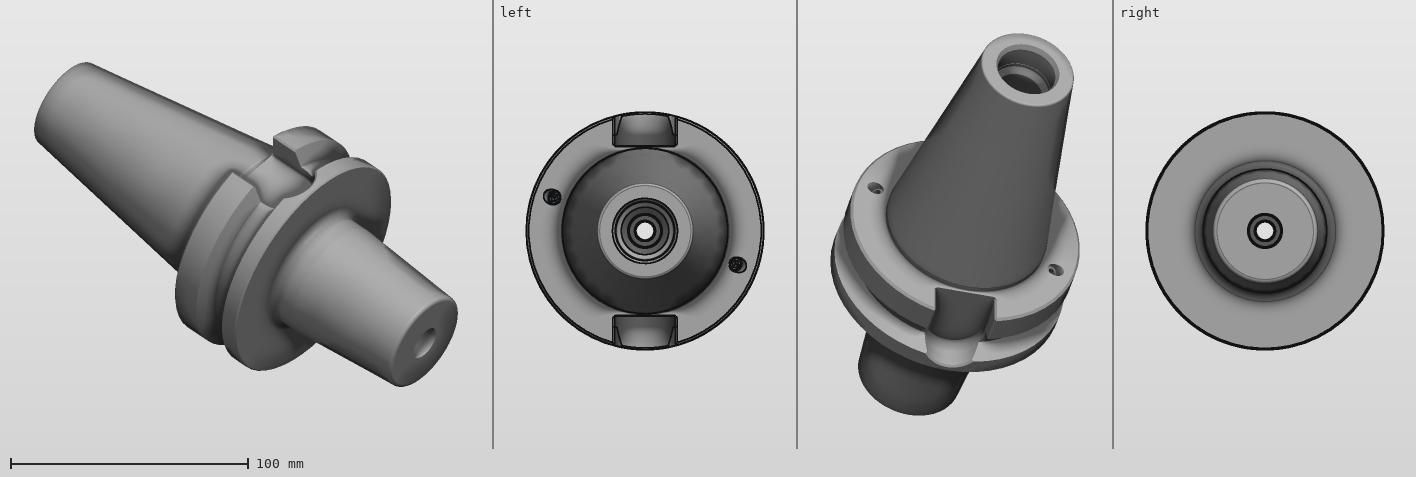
import cadquery as cq
import math

LENGTH = 201.8
GAUGE_X = 101.7
FLANGE_FRONT_X = 104.7
FLANGE_BACK_X = 139.5
COLLAR_END_X = 150.7

TAPER_RATIO = 7 / 24
TAPER_LARGE_R = 35.0
TAPER_SMALL_R = TAPER_LARGE_R - GAUGE_X * TAPER_RATIO / 2
TAPER_FILLET = 1.0
NECK_R = 69.5 / 2
NECK_EDGE = 0.6
NECK_FILLET = 0.6

FLANGE_R = 100.0 / 2
DRIVE_RIM_R = 99.9 / 2
GROOVE_R = 42.4
GROOVE_FRONT_X = 117.5
GROOVE_BACK_X = 132.0
GROOVE_WALL_AXIAL = 3.6
DRIVE_RIM_CHAMFER = 1.0
FLANGE_CHAMFER = 0.6

COLLAR_R = 52.0 / 2
NOSE_END_R = 22.0
COLLAR_FILLET = 3.6
NOSE_FILLET = 1.8

SLOT_WIDTH = 25.6
SLOT_CENTRE_X = 123.3
SLOT_FLOOR_Z = 35.5
SLOT_FLOOR_CHAMFER = 0.5
SLOT_EDGE_CHAMFER = 0.8

MOUTH_R = 13.7
MOUTH_HALF_ANGLE = 30.0
PILOT_R = 25.0 / 2
PILOT_END_X = 11.0
STEP_R = 12.3
STEP_END_X = 12.7
THREAD_R = 9.99
THREAD_END_X = 64.5
DRILL_HALF_ANGLE = 59.0

STOP_R = 7.3
STOP_HOLE_R = 3.8
STOP_LENGTH = 16.1
STOP_CHAMFER = 0.6

PLUG_Y = 39.1
PLUG_Z = 14.3
PLUG_TILT = 30.0
PLUG_HOLE_D = 6.3
PLUG_D = 6.0
PLUG_TOP_D = 5.0
PLUG_DEPTH = 2.5
PLUG_LENGTH = 6.0
PLUG_CHAMFER = (PLUG_D - PLUG_TOP_D) / 2
SOCKET_FLATS = 3.0
SOCKET_DEPTH = 3.0
CUT_MARGIN = 2.0

STOP_X = THREAD_END_X + (THREAD_R - STOP_R) / math.tan(math.radians(DRILL_HALF_ANGLE))


def revolve_about_x(profile):
    """Revolve a closed (x, radius) profile a full turn about the X axis."""
    return profile.close().revolve(360, (0, 0, 0), (1, 0, 0))


def outer_body():
    """Taper, neck, grooved flange, collar and nose as one turned solid."""
    profile = (
        cq.Workplane("XY")
        .moveTo(0, 0)
        .lineTo(0, TAPER_SMALL_R)
        .lineTo(GAUGE_X, TAPER_LARGE_R)
        .lineTo(GAUGE_X + NECK_EDGE, NECK_R)
        .lineTo(FLANGE_FRONT_X - NECK_FILLET, NECK_R)
        .radiusArc((FLANGE_FRONT_X, NECK_R + NECK_FILLET), -NECK_FILLET)
        .lineTo(FLANGE_FRONT_X, DRIVE_RIM_R - DRIVE_RIM_CHAMFER)
        .lineTo(FLANGE_FRONT_X + DRIVE_RIM_CHAMFER, DRIVE_RIM_R)
        .lineTo(GROOVE_FRONT_X, DRIVE_RIM_R)
        .lineTo(GROOVE_FRONT_X + GROOVE_WALL_AXIAL, GROOVE_R)
        .lineTo(GROOVE_BACK_X - GROOVE_WALL_AXIAL, GROOVE_R)
        .lineTo(GROOVE_BACK_X, FLANGE_R)
        .lineTo(FLANGE_BACK_X - FLANGE_CHAMFER, FLANGE_R)
        .lineTo(FLANGE_BACK_X, FLANGE_R - FLANGE_CHAMFER)
        .lineTo(FLANGE_BACK_X, COLLAR_R + COLLAR_FILLET)
        .radiusArc((FLANGE_BACK_X + COLLAR_FILLET, COLLAR_R), -COLLAR_FILLET)
        .lineTo(COLLAR_END_X, COLLAR_R)
        .lineTo(LENGTH, NOSE_END_R)
        .lineTo(LENGTH, 0)
    )
    body = revolve_about_x(profile)
    body = body.faces("<X").edges().fillet(TAPER_FILLET)
    return body.faces(">X").edges().fillet(NOSE_FILLET)


def stepped_bore():
    """Cutter for the chamfered pilot, step, thread and the through bore."""
    mouth_depth = (MOUTH_R - PILOT_R) / math.tan(math.radians(MOUTH_HALF_ANGLE))
    profile = (
        cq.Workplane("XY")
        .moveTo(0, 0)
        .lineTo(0, MOUTH_R)
        .lineTo(mouth_depth, PILOT_R)
        .lineTo(PILOT_END_X, PILOT_R)
        .lineTo(PILOT_END_X, STEP_R)
        .lineTo(STEP_END_X, STEP_R)
        .lineTo(STEP_END_X + STEP_R - THREAD_R, THREAD_R)
        .lineTo(THREAD_END_X, THREAD_R)
        .lineTo(STOP_X, STOP_R)
        .lineTo(LENGTH, STOP_R)
        .lineTo(LENGTH, 0)
    )
    return revolve_about_x(profile)


def drive_slot():
    """Cutter for the upper slot: open toward the taper, rounded at the other end."""
    height = FLANGE_R - SLOT_FLOOR_Z + CUT_MARGIN
    start_x = FLANGE_FRONT_X - CUT_MARGIN
    straight = SLOT_CENTRE_X - start_x
    block = (
        cq.Workplane("XY", origin=(start_x, 0, SLOT_FLOOR_Z))
        .rect(straight, SLOT_WIDTH, centered=(False, True))
        .extrude(height)
    )
    end = (
        cq.Workplane("XY", origin=(SLOT_CENTRE_X, 0, SLOT_FLOOR_Z))
        .circle(SLOT_WIDTH / 2)
        .extrude(height)
    )
    return block.union(end).faces("<Z").edges("not <X").chamfer(SLOT_FLOOR_CHAMFER)


def plug_frames():
    """Planes at the two plug holes, with the normal along the hole into the flange."""
    radius = math.hypot(PLUG_Y, PLUG_Z)
    tilt = math.radians(PLUG_TILT)
    frames = []
    for side in (1, -1):
        inward_y = -side * PLUG_Y / radius
        inward_z = -side * PLUG_Z / radius
        frames.append(
            cq.Plane(
                origin=(FLANGE_FRONT_X, side * PLUG_Y, side * PLUG_Z),
                xDir=(0, -inward_z, inward_y),
                normal=(math.cos(tilt), math.sin(tilt) * inward_y, math.sin(tilt) * inward_z),
            )
        )
    return frames


def plug_hole(frame):
    """Cutter for one tilted hole: clearance mouth, then the seat that holds the plug."""
    mouth_start = -PLUG_HOLE_D / 2
    mouth = (
        cq.Workplane(frame)
        .workplane(offset=mouth_start)
        .circle(PLUG_HOLE_D / 2)
        .extrude(PLUG_DEPTH - mouth_start)
    )
    seat = cq.Workplane(frame).workplane(offset=PLUG_DEPTH).circle(PLUG_D / 2).extrude(PLUG_LENGTH)
    return mouth.union(seat)


def break_slot_edges(holder, top):
    """Chamfer the sharp edges of one slot; top is 1 for the upper slot and -1 for the lower."""
    half = SLOT_WIDTH / 2
    rim_z = math.sqrt(DRIVE_RIM_R**2 - half**2)
    rim_mid_x = (FLANGE_FRONT_X + GROOVE_FRONT_X) / 2
    for side in (half, -half):
        rim = cq.NearestToPointSelector((rim_mid_x, side, top * rim_z))
        front = cq.NearestToPointSelector((FLANGE_FRONT_X, side, top * (SLOT_FLOOR_Z + rim_z) / 2))
        holder = holder.edges(rim).chamfer(SLOT_EDGE_CHAMFER)
        holder = holder.edges(front).chamfer(SLOT_EDGE_CHAMFER)
    rounded_end = cq.NearestToPointSelector((SLOT_CENTRE_X + half, 0, top * FLANGE_R))
    return holder.edges(rounded_end).chamfer(SLOT_EDGE_CHAMFER)


def make_holder():
    holder = outer_body().cut(stepped_bore())
    slot = drive_slot()
    for angle in (0, 180):
        holder = holder.cut(slot.rotate((0, 0, 0), (1, 0, 0), angle))
    for top in (1, -1):
        holder = break_slot_edges(holder, top)
    for frame in plug_frames():
        holder = holder.cut(plug_hole(frame))
    return holder


def make_plug(frame):
    """Set screw with a chamfered top and a hexagon socket."""
    top = cq.Workplane(frame).workplane(offset=PLUG_DEPTH)
    plug = top.circle(PLUG_D / 2).extrude(PLUG_LENGTH)
    top_edge = cq.NearestToPointSelector(top.plane.origin.toTuple())
    plug = plug.faces(top_edge).edges().chamfer(PLUG_CHAMFER)
    socket = top.polygon(6, SOCKET_FLATS, circumscribed=True).extrude(SOCKET_DEPTH)
    return plug.cut(socket)


def make_stop_screw():
    """Hollow screw with both edges of each end chamfered."""
    screw = (
        cq.Workplane("YZ", origin=(STOP_X, 0, 0))
        .circle(STOP_R)
        .circle(STOP_HOLE_R)
        .extrude(STOP_LENGTH)
    )
    return screw.faces("<X or >X").edges().chamfer(STOP_CHAMFER)


holder = make_holder()
stop_screw = make_stop_screw()
plugs = [make_plug(frame) for frame in plug_frames()]

result = cq.Compound.makeCompound([holder.val(), stop_screw.val(), *[plug.val() for plug in plugs]])